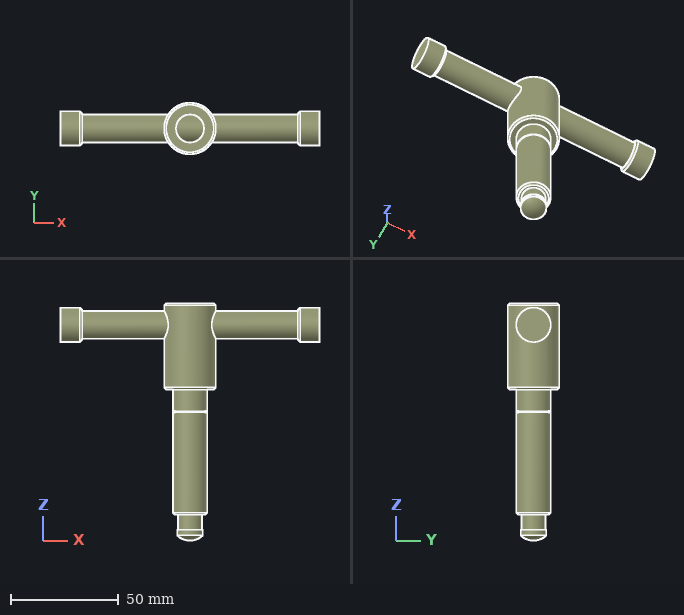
import cadquery as cq


bar_length = 120
bar_diameter = 13
knob_diameter = 16
knob_length = 10
knob_chamfer = 1

head_diameter = 24
head_length = 40
head_chamfer = 1
head_top = 10
head_bottom = head_top - head_length
sight_hole_diameter = bar_diameter

screw_length = 110
shank_diameter = 16
collar_diameter = shank_diameter
collar_length = 10
undercut_diameter = 14
undercut_width = 0.6
shank_chamfer = 1
neck_diameter = 11.2
neck_length = 7
tip_diameter = 12
tip_band = 2.5
dome_height = 2.5

screw_bottom = head_top - screw_length
dome_top = screw_bottom + dome_height
tip_top = dome_top + tip_band
shank_bottom = tip_top + neck_length
undercut_top = head_bottom - collar_length
shank_top = undercut_top - undercut_width


def cylinder(diameter, bottom, top):
    """Upright cylinder on the screw axis."""
    return cq.Workplane("XY").workplane(offset=bottom).circle(diameter / 2).extrude(top - bottom)


def make_dome():
    """Spherical cap that ends the tip, revolved about the screw axis."""
    tip_radius = tip_diameter / 2
    sphere_radius = (tip_radius**2 + dome_height**2) / (2 * dome_height)
    sphere_center = screw_bottom + sphere_radius
    half_radius = tip_radius / 2
    arc_middle = sphere_center - (sphere_radius**2 - half_radius**2) ** 0.5
    return (
        cq.Workplane("XZ")
        .moveTo(0, screw_bottom)
        .threePointArc((half_radius, arc_middle), (tip_radius, dome_top))
        .lineTo(0, dome_top)
        .close()
        .revolve(360, (0, 0, 0), (0, 1, 0))
    )


def make_screw():
    """Head, collar, undercut, shank, neck and domed tip, with the bar bore and sight hole cut."""
    head = cylinder(head_diameter, head_bottom, head_top).edges().chamfer(head_chamfer)
    collar = cylinder(collar_diameter, undercut_top, head_bottom)
    undercut = cylinder(undercut_diameter, shank_top, undercut_top)
    shank = cylinder(shank_diameter, shank_bottom, shank_top).edges("<Z").chamfer(shank_chamfer)
    neck = cylinder(neck_diameter, tip_top, shank_bottom)
    tip = cylinder(tip_diameter, dome_top, tip_top)
    body = head.union(collar).union(undercut).union(shank).union(neck).union(tip).union(make_dome())

    bar_bore = cq.Workplane("YZ").circle(bar_diameter / 2).extrude(head_diameter, both=True)
    sight_hole = cylinder(sight_hole_diameter, 0, head_top)
    return body.cut(bar_bore).cut(sight_hole)


def make_bar():
    """Round bar with a knob on each end, chamfered on its inner side."""
    half_length = bar_length / 2
    knob_start = half_length - knob_length
    bar = cq.Workplane("YZ").circle(bar_diameter / 2).extrude(half_length, both=True)
    knob = (
        cq.Workplane("YZ")
        .workplane(offset=knob_start)
        .circle(knob_diameter / 2)
        .extrude(knob_length)
        .edges("<X")
        .chamfer(knob_chamfer)
    )
    return bar.union(knob).union(knob.mirror("YZ"))


screw = make_screw()
bar = make_bar()

result = cq.Compound.makeCompound([screw.val(), bar.val()])